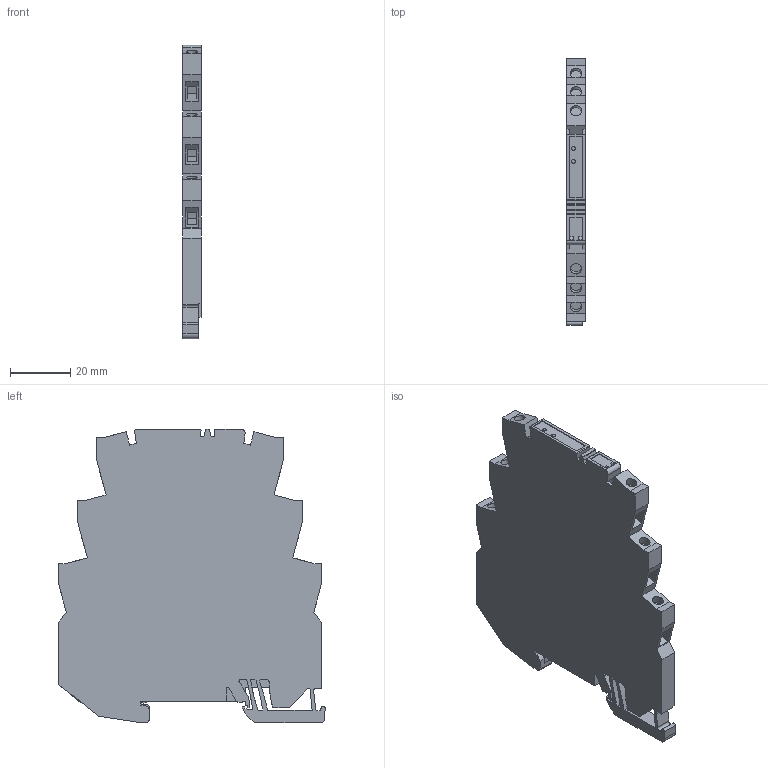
import cadquery as cq
import math


thickness = 6.05
x_left = -thickness / 2
x_right = thickness / 2
foot_thickness = 5.2
x_skin = x_left + foot_thickness
top_z = 89.8
bottom_z = top_z - 97.05

tier_count = 3
base_half_width = 43.4
tier_setback = 6.2
tier_rise = 20.8
lowest_ledge_z = 45.4
ledge_length = 2.4
front_height = 6.95
tilt_angle = 15
tilt = math.tan(math.radians(tilt_angle))
lowest_face_drop = 9.2
base_shoulder_z = 26.0

slot_outer = (19.95, 84.55)
slot_inner = (17.75, 84.55 + 2.2 * tilt)
latch_depth = 7.0
window_width = 4.28
block_corner_radius = 1.3
lip_chamfer = 0.3
block_lean = 0.7

ridge_y = -5.8
ridge_base_half = 1.2
ridge_waist_half = 0.95
ridge_top_half = 0.65
ridge_waist_z = 88.4
ridge_top_z = 89.5
groove_floor_z = 87.4
groove_base_half = 2.45
groove_top_half = 2.1

screw_hole_diameter = 3.65
screw_hole_depth = 3.0
hole_overshoot = 1.0
screw_hole_setback = 4.85
funnel_top_drop = 9.25
funnel_bottom_drop = 15.85
funnel_depth = 3.2
funnel_ceiling_fall = 1.5
clamp_width = 3.0
clamp_depth = 1.5
clamp_bend_drop = 13.05

marker_recess = 0.25
marker_thickness = 1.0
long_marker_ends = (-2.65, 17.55)
short_marker_ends = (-16.85, -9.05)
pry_notch_length = 1.35
pry_notch_width = 1.3
light_pipe_radius = 0.65
light_pipe_x = -0.85
light_pipe_ys = (9.35, 13.65)

skin_step_z = 4.45
foot_side_z = 4.05
finger_y = -18.25
lower_shoulder = (base_half_width, 5.4)
seat_z = -0.2
rib_z = -0.55
slot_end_y = 16.25
hook_y = 13.5
hook_top_z = -1.4
contact_x = -1.2
contact_inlay = 0.5
contact_low_z = -4.65


def extrude_profile(points, x_start, x_end):
    """Prism along X with the given (Y, Z) outline.

    A point of four numbers is an arc that passes through the first pair and ends at the second.
    """
    outline = cq.Workplane("YZ", origin=(x_start, 0, 0)).moveTo(*points[0])
    for point in points[1:]:
        if len(point) == 4:
            outline = outline.threePointArc(point[:2], point[2:])
        else:
            outline = outline.lineTo(*point)
    return outline.close().extrude(x_end - x_start)


def ledge_z(tier):
    return lowest_ledge_z + tier * tier_rise


def half_width(tier):
    return base_half_width - tier * tier_setback


def face_y(tier, z):
    """Y of the inclined terminal face of a +Y tier at height z."""
    return half_width(tier) - tilt * (ledge_z(tier) - front_height - z)


def stepped_side():
    """Outline of the +Y side, from the base shoulder up to the edge of the middle block."""
    lowest_z = ledge_z(0) - front_height - lowest_face_drop
    points = [(base_half_width, base_shoulder_z), (face_y(0, lowest_z), lowest_z)]
    for tier in range(tier_count):
        front = half_width(tier)
        ledge = ledge_z(tier)
        ledge_back = front - ledge_length
        points += [(front, ledge - front_height), (front, ledge), (ledge_back, ledge)]
        if tier < tier_count - 1:
            front_foot = ledge_z(tier + 1) - front_height
            run = ledge_back - half_width(tier + 1)
            drop = (front_foot - ledge - tilt * run) / (1 + tilt**2)
            points.append((face_y(tier + 1, front_foot - drop), front_foot - drop))
        else:
            roof_end = (slot_outer[0] + tilt * (ledge + tilt * ledge_back - slot_outer[1])) / (1 + tilt**2)
            points.append((roof_end, ledge + tilt * (ledge_back - roof_end)))
    points += [slot_outer, slot_inner, (slot_inner[0] + block_lean, top_z)]
    return points


def mirrored(points):
    return [(-y, z) for y, z in reversed(points)]


side = stepped_side()
upper_outline = side + mirrored(side)

spring_leaf = [
    (-base_half_width, foot_side_z), (-41.7, foot_side_z), (-41.0, 3.75, -40.9, 2.95),
    (-41.5, -2.35), (-41.7, -3.05, -42.3, -3.25),
]
release_lip = [
    (-42.7, -3.25), (-43.2, -3.05, -43.3, -2.65), (-43.9, -1.95, -44.7, -2.45),
    (-44.5, -5.45), (-44.2, -6.75, -43.1, bottom_z),
]
foot_toe = [(-21.4, bottom_z), (-19.0, -5.1, -17.35, -2.45), (-17.35, -1.85), (-18.15, -1.85)]
finger_gap = [
    (-18.15, -2.45), (-18.9, -2.95), (-20.0, -2.95), (-20.6, -2.65, -20.6, -2.05),
    (-19.9, 1.75, -18.7, 7.05), (-17.0, 7.05), (-16.3, 6.85, -16.5, 5.95),
    (-19.4, 1.05), (-19.75, -2.35), (-19.1, -2.35), (-19.1, -1.65),
]
rail_seat = [
    (finger_y, -1.65), (finger_y, seat_z), (-17.4, seat_z), (-17.4, rib_z), (-15.8, rib_z), (-15.8, seat_z),
    (slot_end_y, seat_z),
]
fixed_hook = [
    (slot_end_y, hook_top_z), (15.2, hook_top_z), (14.2, -1.95, hook_y, -3.0),
    (hook_y, -6.2), (13.85, -6.92, 14.7, bottom_z), (16.4, bottom_z), (30.3, -5.1), lower_shoulder,
]
foot_outline = upper_outline + spring_leaf + release_lip + foot_toe + finger_gap + rail_seat + fixed_hook

skin_outline = upper_outline + [
    (-base_half_width, skin_step_z), (finger_y, skin_step_z), (finger_y, seat_z),
    (36.8, seat_z), lower_shoulder,
]

spring_window = [
    (-20.0, 7.05), (-21.4, 7.05), (-21.9, 6.55), (-23.1, 2.05, -23.95, -2.65), (-24.1, -3.25),
    (-22.5, -3.25), (-21.2, 1.05, -20.1, 6.35),
]
foot_window = [
    (-23.3, 7.05), (-25.0, 7.05), (-25.9, 6.75, -26.2, 5.95), (-26.5, 1.75, -27.2, -1.75),
    (-27.3, -2.25, -27.7, -2.25), (-32.9, -2.25), (-38.7, 3.95), (-39.2, 4.15, -39.7, 3.85),
    (-40.4, -3.15), (-25.7, -3.15), (-24.3, 2.25, -22.95, 6.55),
]
rail_notch = [(-12.1, seat_z), (-12.0, 4.35), (-12.8, 4.35), (-15.4, seat_z)]

contact_outline = [
    (14.2, seat_z), (slot_end_y, seat_z), (slot_end_y, hook_top_z), (15.2, hook_top_z),
    (hook_y + contact_inlay, -2.2), (hook_y + contact_inlay, contact_low_z), (hook_y, contact_low_z),
    (hook_y, -1.9), (14.0, -1.4, 15.0, -1.15), (16.0, -1.15), (16.0, -0.55), (15.3, -0.8), (14.4, -0.6),
]


def housing_plate():
    plate = extrude_profile(foot_outline, x_left, x_skin)
    for opening in (spring_window, foot_window, rail_notch):
        plate = plate.cut(extrude_profile(opening, x_left, x_skin))
    return plate.union(extrude_profile(skin_outline, x_skin, x_right))


def edge_near(y, z):
    """Selects the edge across the thickness that passes closest to (Y, Z)."""
    return cq.selectors.NearestToPointSelector((0, y, z))


def finish_block(body):
    """Rounds the -Y end of the middle block and breaks its other upper edges."""
    block_end = slot_inner[0] + block_lean
    body = body.edges("|X").edges(edge_near(-block_end, top_z)).fillet(block_corner_radius)
    for y in (block_end, ridge_y + groove_top_half, ridge_y - groove_top_half):
        body = body.edges("|X").edges(edge_near(y, top_z)).chamfer(lip_chamfer)
    return body


def groove(sign):
    """Groove between the ridge and the middle block; sign picks the +Y or -Y one."""
    points = [
        (ridge_y + sign * ridge_base_half, groove_floor_z),
        (ridge_y + sign * ridge_waist_half, ridge_waist_z),
        (ridge_y + sign * ridge_top_half, ridge_top_z),
        (ridge_y + sign * ridge_top_half, top_z),
        (ridge_y + sign * groove_top_half, top_z),
        (ridge_y + sign * groove_base_half, groove_floor_z),
    ]
    return extrude_profile(points, x_left, x_right)


def screw_hole(tier):
    """Blind hole square to the sloped roof of a +Y tier."""
    y = half_width(tier) - screw_hole_setback
    z = ledge_z(tier) + tilt * (screw_hole_setback - ledge_length)
    angle = math.radians(tilt_angle)
    inward = cq.Vector(0, -math.sin(angle), -math.cos(angle))
    start = cq.Vector(0, y, z) - inward * hole_overshoot
    return cq.Workplane(
        cq.Solid.makeCylinder(screw_hole_diameter / 2, screw_hole_depth + hole_overshoot, start, inward)
    )


def wire_funnel(tier):
    """Wire entry in the inclined face of a +Y tier, with the narrower clamp recess behind it."""
    top = ledge_z(tier) - funnel_top_drop
    bottom = ledge_z(tier) - funnel_bottom_drop
    back_top = top - funnel_ceiling_fall
    back_bottom = bottom + funnel_depth * tilt
    bend = ledge_z(tier) - clamp_bend_drop
    back_top_y = face_y(tier, back_top) - funnel_depth
    back_bottom_y = face_y(tier, back_bottom) - funnel_depth
    funnel = extrude_profile(
        [
            (face_y(tier, bottom), bottom), (face_y(tier, top), top),
            (back_top_y, back_top), (back_bottom_y, back_bottom),
        ],
        -window_width / 2,
        window_width / 2,
    )
    clamp_y = face_y(tier, bend) - funnel_depth - clamp_depth
    clamp = extrude_profile(
        [
            (back_bottom_y, back_bottom), (back_top_y, back_top),
            (back_top_y - clamp_depth, back_top), (clamp_y, bend), (clamp_y, back_bottom),
        ],
        -clamp_width / 2,
        clamp_width / 2,
    )
    return funnel.union(clamp)


def latch_pocket():
    """Deeper middle part of the +Y slot, running on along the slot's slant."""
    points = [slot_inner, slot_outer]
    points += [(y - tilt * latch_depth, z - latch_depth) for y, z in reversed(points)]
    return extrude_profile(points, -window_width / 2, window_width / 2)


def strip(ends, z_low, z_high):
    """Box as wide as a marker strip between two Y ends."""
    return cq.Workplane("XY").box(window_width, ends[1] - ends[0], z_high - z_low).translate(
        (0, (ends[0] + ends[1]) / 2, (z_low + z_high) / 2)
    )


marker_top_z = top_z - marker_recess
marker_low_z = marker_top_z - marker_thickness


def pry_notches():
    """Two ramps at the -Y corners of the short strip where a blade lifts it out."""
    end = short_marker_ends[0]
    ramp = [(end, top_z), (end + pry_notch_length, top_z), (end + pry_notch_length, marker_low_z)]
    edge = window_width / 2
    return extrude_profile(ramp, -edge, pry_notch_width - edge).union(
        extrude_profile(ramp, edge - pry_notch_width, edge)
    )


def make_housing():
    body = housing_plate()
    for sign in (1, -1):
        body = body.cut(groove(sign))
    body = finish_block(body)
    cuts = [latch_pocket()]
    for tier in range(tier_count):
        cuts += [screw_hole(tier), wire_funnel(tier)]
    for cut in cuts:
        body = body.cut(cut).cut(cut.mirror("XZ"))
    for ends in (long_marker_ends, short_marker_ends):
        body = body.cut(strip(ends, marker_low_z, top_z))
    return body


def light_pipe(y):
    return (
        cq.Workplane("XY", origin=(light_pipe_x, y, marker_low_z))
        .circle(light_pipe_radius)
        .extrude(marker_thickness)
    )


rail_contact = extrude_profile(contact_outline, contact_x, x_skin)
housing = make_housing().cut(rail_contact)
light_pipes = [light_pipe(y) for y in light_pipe_ys]
long_marker = strip(long_marker_ends, marker_low_z, marker_top_z)
for pipe in light_pipes:
    long_marker = long_marker.cut(pipe)
short_marker = strip(short_marker_ends, marker_low_z, marker_top_z).cut(pry_notches())

result = cq.Compound.makeCompound(
    [
        housing.val(),
        rail_contact.val(),
        long_marker.val(),
        short_marker.val(),
        *[pipe.val() for pipe in light_pipes],
    ]
)